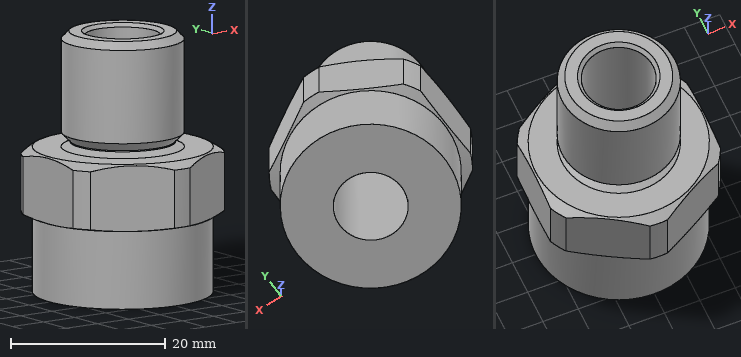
import cadquery as cq
import math

total_height = 34.5
sleeve_height = 10.3
hex_height = 8.9
hex_top = sleeve_height + hex_height

sleeve_radius = 23.5 / 2
hex_sides = 6
across_flats = 24.0
hex_corner_radius = 13.2
hex_top_face_radius = sleeve_radius
hex_top_bevel_angle = 30.0
hex_bottom_bevel_angle = 15.0

spigot_radius = 8.0
tip_chamfer = 1.0
undercut_radius = 6.85
undercut_foot_angle = 30.0
undercut_land = 0.15

bore_radius = 9.7 / 2
bore_chamfer = 0.5


def revolve_profile(points):
    """Revolve a closed (radius, height) profile about the Z axis."""
    return cq.Workplane("XZ").polyline(points).close().revolve(360, (0, 0), (0, 1))


def make_sleeve():
    return cq.Workplane("XY").circle(sleeve_radius).extrude(sleeve_height)


def make_hexagon():
    """Hexagon with corners on the Y axis, rounded and bevelled by a turned envelope."""
    corner_to_corner = across_flats / math.cos(math.pi / hex_sides)
    prism = (
        cq.Workplane("XY", origin=(0, 0, sleeve_height))
        .polygon(hex_sides, corner_to_corner)
        .extrude(hex_height)
        .rotate((0, 0, 0), (0, 0, 1), 180 / hex_sides)
    )
    bevel_width = hex_corner_radius - hex_top_face_radius
    top_bevel = bevel_width * math.tan(math.radians(hex_top_bevel_angle))
    bottom_bevel = bevel_width * math.tan(math.radians(hex_bottom_bevel_angle))
    envelope = revolve_profile([
        (0, sleeve_height),
        (sleeve_radius, sleeve_height),
        (hex_corner_radius, sleeve_height + bottom_bevel),
        (hex_corner_radius, hex_top - top_bevel),
        (hex_top_face_radius, hex_top),
        (0, hex_top),
    ])
    return prism.intersect(envelope)


def make_spigot():
    """Turned spigot: conical foot, undercut, 45 degree shoulder and chamfered tip."""
    undercut_depth = spigot_radius - undercut_radius
    foot_height = undercut_depth * math.tan(math.radians(undercut_foot_angle))
    land_bottom = hex_top + foot_height
    land_top = land_bottom + undercut_land
    shoulder_top = land_top + undercut_depth
    return revolve_profile([
        (0, hex_top),
        (spigot_radius, hex_top),
        (undercut_radius, land_bottom),
        (undercut_radius, land_top),
        (spigot_radius, shoulder_top),
        (spigot_radius, total_height - tip_chamfer),
        (spigot_radius - tip_chamfer, total_height),
        (0, total_height),
    ])


def make_bore():
    """Through bore with a 45 degree chamfer at the spigot tip."""
    return revolve_profile([
        (0, 0),
        (bore_radius, 0),
        (bore_radius, total_height - bore_chamfer),
        (bore_radius + bore_chamfer, total_height),
        (0, total_height),
    ])


result = make_sleeve().union(make_hexagon()).union(make_spigot()).cut(make_bore())